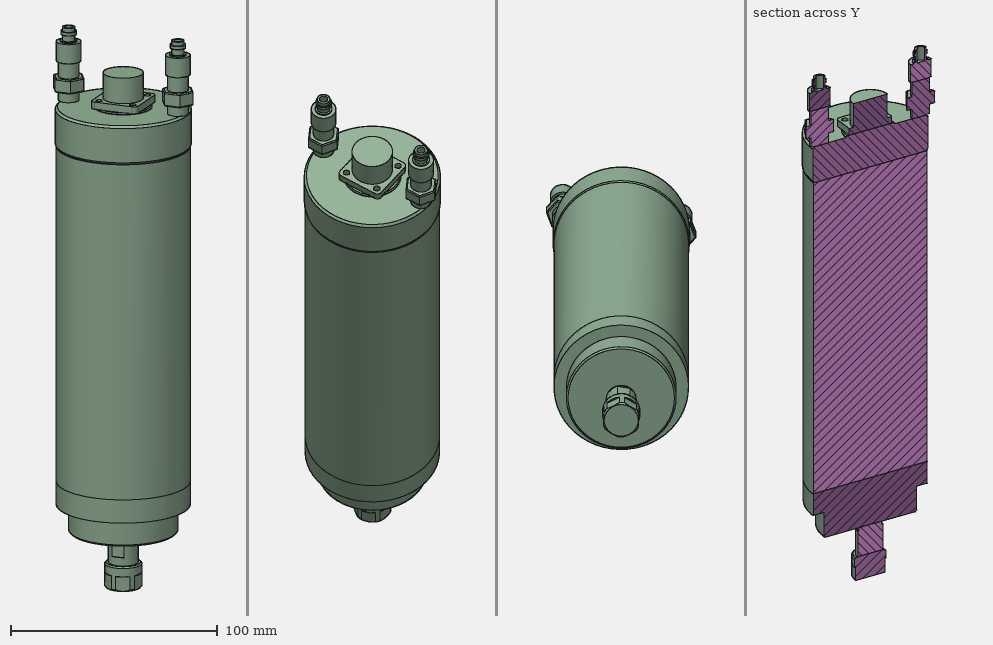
import cadquery as cq
import math

nut_top_z = 12.5
nose_bottom_z = 28.2
flange_bottom_z = 42.0
housing_bottom_z = 53.7
cap_bottom_z = 223.0
cap_top_z = 242.5
overall_length = 279.5

housing_diameter = 65.0
cap_diameter = 66.0
cap_chamfer = 1.0
nose_diameter = 53.0
nose_chamfer = 0.8

seat_diameter = 28.0
seat_height = 0.8
seat_chamfer = 0.5

shaft_diameter = 14.5
shaft_neck_diameter = 13.0
shaft_neck_length = 1.5
flat_width = 13.0
flat_bottom_z = 16.8
flat_top_z = 26.3

nut_diameter = 18.2
nut_flat_width = 16.8
nut_flat_height = 7.5
nut_flat_count = 6
nut_turn = -8.0
nut_top_chamfer = 0.7
nut_bottom_chamfer = 0.8

connector_plate_side = 24.3
connector_corner_radius = 2.2
connector_plate_top_z = 247.0
connector_diameter = 19.5
connector_top_z = 260.0
connector_hole_spacing = 18.0
connector_hole_diameter = 3.0

fitting_offset = 28.8
stem_diameter = 10.0
hex_width = 14.0
hex_bottom_z = 247.5
hex_top_z = 254.5
hex_chamfer = 0.5
sleeve_bottom_z = 262.5
sleeve_top_z = 272.2
sleeve_diameter = 12.0
tip_diameter = 6.1
tip_collar_diameter = 8.0
tip_collar_height = 0.5
tip_bore_diameter = 4.0
barb_diameter = 7.5
barb_bottom_z = 276.0
barb_top_z = 277.5


def cylinder(diameter, bottom_z, top_z):
    """Upright cylinder on the spindle axis."""
    return cq.Workplane("XY").workplane(offset=bottom_z).circle(diameter / 2).extrude(top_z - bottom_z)


def make_housing():
    return cylinder(housing_diameter, housing_bottom_z, cap_bottom_z)


def make_rear_cap():
    cap = cylinder(cap_diameter, cap_bottom_z, cap_top_z).edges().chamfer(cap_chamfer)
    seat = cylinder(seat_diameter, cap_top_z, cap_top_z + seat_height)
    seat = seat.faces(">Z").chamfer(seat_chamfer)
    return cap.union(seat)


def make_bearing_carrier():
    """Front flange and stepped-down nose."""
    flange = cylinder(housing_diameter, flange_bottom_z, housing_bottom_z)
    nose = cylinder(nose_diameter, nose_bottom_z, flange_bottom_z).faces("<Z").chamfer(nose_chamfer)
    return flange.union(nose)


def make_shaft():
    """Shaft with a relieved neck and two wrench flats facing -Y and +Y."""
    neck_bottom_z = nose_bottom_z - shaft_neck_length
    shaft = cylinder(shaft_diameter, nut_top_z, neck_bottom_z)
    shaft = shaft.union(cylinder(shaft_neck_diameter, neck_bottom_z, nose_bottom_z))
    flat_height = flat_top_z - flat_bottom_z
    for side in (-1, 1):
        cutter = (
            cq.Workplane("XY")
            .box(shaft_diameter, shaft_diameter, flat_height)
            .translate((0, side * (flat_width + shaft_diameter) / 2, (flat_bottom_z + flat_top_z) / 2))
        )
        shaft = shaft.cut(cutter)
    return shaft


def make_collet_nut():
    """Round nut with wrench flats cut up from its lower end."""
    nut = cylinder(nut_diameter, 0, nut_top_z)
    nut = nut.faces(">Z").chamfer(nut_top_chamfer)
    nut = nut.faces("<Z").chamfer(nut_bottom_chamfer)
    for index in range(nut_flat_count):
        cutter = (
            cq.Workplane("XY")
            .box(nut_diameter, nut_diameter, nut_flat_height, centered=(False, True, False))
            .translate((nut_flat_width / 2, 0, 0))
            .rotate((0, 0, 0), (0, 0, 1), nut_turn + index * 360 / nut_flat_count)
        )
        nut = nut.cut(cutter)
    return nut


def make_connector():
    """Square flanged connector with four mounting holes."""
    plate_bottom_z = cap_top_z + seat_height
    plate = (
        cq.Workplane("XY")
        .workplane(offset=plate_bottom_z)
        .rect(connector_plate_side, connector_plate_side)
        .extrude(connector_plate_top_z - plate_bottom_z)
        .edges("|Z")
        .fillet(connector_corner_radius)
        .faces(">Z")
        .workplane()
        .rect(connector_hole_spacing, connector_hole_spacing, forConstruction=True)
        .vertices()
        .hole(connector_hole_diameter)
    )
    return plate.union(cylinder(connector_diameter, connector_plate_top_z, connector_top_z))


def make_adapter(x):
    """Round stem with a hexagon, chamfered at both ends, whose corners point along X."""
    corner_diameter = hex_width / math.cos(math.pi / 6)
    hexagon = (
        cq.Workplane("XY")
        .workplane(offset=hex_bottom_z)
        .polygon(6, corner_diameter)
        .extrude(hex_top_z - hex_bottom_z)
        .faces("<Z or >Z")
        .chamfer(hex_chamfer)
    )
    stem = cylinder(stem_diameter, cap_top_z, sleeve_bottom_z)
    return stem.union(hexagon).translate((x, 0, 0))


def make_nipple(x):
    """Sleeve with a slimmer bored tip that carries a base collar and a barb ring."""
    sleeve = cylinder(sleeve_diameter, sleeve_bottom_z, sleeve_top_z)
    tip = cylinder(tip_diameter, sleeve_top_z, overall_length)
    collar = cylinder(tip_collar_diameter, sleeve_top_z, sleeve_top_z + tip_collar_height)
    barb = cylinder(barb_diameter, barb_bottom_z, barb_top_z)
    bore = cylinder(tip_bore_diameter, sleeve_top_z, overall_length)
    return sleeve.union(tip).union(collar).union(barb).cut(bore).translate((x, 0, 0))


housing = make_housing()
rear_cap = make_rear_cap()
bearing_carrier = make_bearing_carrier()
shaft = make_shaft()
collet_nut = make_collet_nut()
connector = make_connector()

fitting_positions = (-fitting_offset, fitting_offset)
adapters = [make_adapter(x) for x in fitting_positions]
nipples = [make_nipple(x) for x in fitting_positions]

result = cq.Compound.makeCompound(
    [
        housing.val(),
        rear_cap.val(),
        bearing_carrier.val(),
        shaft.val(),
        collet_nut.val(),
        connector.val(),
        *[adapter.val() for adapter in adapters],
        *[nipple.val() for nipple in nipples],
    ]
)